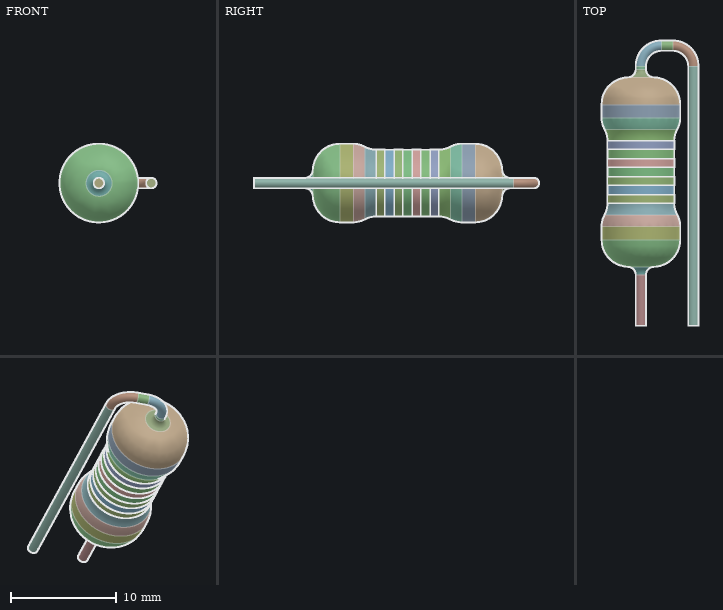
import cadquery as cq
import math

total_length = 27.1
wire_diameter = 1.0
lead_pitch = 4.99
bend_radius = 1.95

cap_diameter = 7.5
waist_diameter = 6.37
body_start = 5.58
dome_radius = 2.6
cap_cylinder_length = 1.25
shoulder_length = 2.2
collar_radius = 0.73

band_diameter = 6.4
band_count = 4
band_width = 0.8
band_gap = 0.9

wire_radius = wire_diameter / 2
cap_radius = cap_diameter / 2
waist_radius = waist_diameter / 2
waist_length = band_count * band_width + (band_count - 1) * band_gap
half_body = waist_length / 2 + shoulder_length + cap_cylinder_length + dome_radius
body_center = body_start + half_body


def end_cap():
    """Shoulder, cap and dome at the +Y end of the waist, with the wire collar."""
    half_waist = waist_length / 2
    cylinder_start = half_waist + shoulder_length
    cylinder_end = cylinder_start + cap_cylinder_length

    shoulder_rise = cap_radius - waist_radius
    arc_radius = (shoulder_length**2 + shoulder_rise**2) / (4 * shoulder_rise)
    arc_angle = math.asin(shoulder_length / 2 / arc_radius)
    mid_along = arc_radius * math.sin(arc_angle / 2)
    mid_rise = arc_radius * (1 - math.cos(arc_angle / 2))
    inflection = ((waist_radius + cap_radius) / 2, half_waist + shoulder_length / 2)

    diagonal = math.sqrt(0.5)
    dome_center_x = cap_radius - dome_radius
    dome_middle = (dome_center_x + dome_radius * diagonal, cylinder_end + dome_radius * diagonal)
    body = (
        cq.Workplane("XY")
        .moveTo(0, half_waist)
        .lineTo(waist_radius, half_waist)
        .threePointArc((waist_radius + mid_rise, half_waist + mid_along), inflection)
        .threePointArc((cap_radius - mid_rise, cylinder_start - mid_along), (cap_radius, cylinder_start))
        .lineTo(cap_radius, cylinder_end)
        .threePointArc(dome_middle, (dome_center_x, half_body))
        .lineTo(0, half_body)
        .close()
        .revolve(360, (0, 0, 0), (0, 1, 0))
    )

    foot_radius = wire_radius + collar_radius
    foot_drop = dome_radius - math.sqrt(dome_radius**2 - (foot_radius - dome_center_x) ** 2)
    foot_y = half_body - foot_drop
    collar_end = foot_y + collar_radius
    collar_middle = (
        foot_radius - collar_radius * diagonal,
        collar_end - collar_radius * diagonal,
    )
    collar = (
        cq.Workplane("XY")
        .moveTo(0, cylinder_end)
        .lineTo(dome_center_x, cylinder_end)
        .lineTo(foot_radius, foot_y)
        .threePointArc(collar_middle, (wire_radius, collar_end))
        .lineTo(0, collar_end)
        .close()
        .revolve(360, (0, 0, 0), (0, 1, 0))
    )
    return body.union(collar)


def color_band(index):
    """One of the evenly spaced bands on the waist."""
    start = -waist_length / 2 + index * (band_width + band_gap)
    return cq.Workplane("XZ", origin=(0, start, 0)).circle(band_diameter / 2).extrude(-band_width)


def wire():
    """One wire through the body, folded back alongside it."""
    top = total_length - wire_radius
    bend_start = top - bend_radius
    bend_offset = bend_radius * (1 - math.sqrt(0.5))
    path = (
        cq.Workplane("XY")
        .lineTo(0, bend_start)
        .threePointArc((bend_offset, top - bend_offset), (bend_radius, top))
        .lineTo(lead_pitch - bend_radius, top)
        .threePointArc((lead_pitch - bend_offset, top - bend_offset), (lead_pitch, bend_start))
        .lineTo(lead_pitch, 0)
    )
    return cq.Workplane("XZ").circle(wire_radius).sweep(path)


cap = end_cap()
waist = cq.Workplane("XZ").circle(waist_radius).extrude(waist_length / 2, both=True).clean()
body = waist.union(cap).union(cap.mirror("XZ"))
for index in range(band_count):
    body = body.union(color_band(index))

result = body.translate((0, body_center, 0)).union(wire())